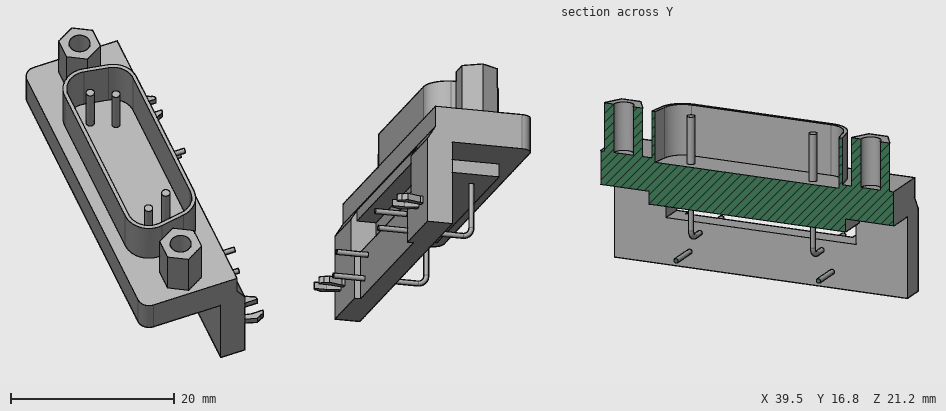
import cadquery as cq
import math


housing_length = 39.5
flange_bottom = 10.55
flange_top = 14.97
flange_back = 12.52
flange_corner_radius = 1.45
wall_front = 10.35
wall_back = 13.55
bevel_bottom = 10.7
bevel_top = 12.35

recess_floor = 12.8
window_width = 25.6
window_bottom = 6.05
foot_gap = 22.5

insert_width = 26.55
insert_front = 2.4
insert_bottom = 8.9

shell_front = 1.65
shell_back = 10.95
shell_top = 20.97
shell_floor = 14.45
shell_front_width = 27.35
shell_side_angle = 10.0
shell_corner_radius = 3.12
shell_thickness = 0.47

post_spacing = 33.3
post_y = (shell_front + shell_back) / 2
post_top = 21.2
post_across_flats = 4.5
post_hole_diameter = 2.55

contact_pitch = 2.75
row_spacing = 2.85
front_row_y = post_y - row_spacing / 2
back_row_y = post_y + row_spacing / 2
front_row_x = 9.6
back_row_x = front_row_x - contact_pitch / 2
contact_diameter = 1.03
contact_top = 20.55
tail_diameter = 0.65
tail_end = 16.8
tail_bend_radius = 1.1
front_tail_z = 2.1
back_tail_z = 4.7

clip_z = (front_tail_z + back_tail_z) / 2
clip_thickness = 0.83
prong_root_inner = 0.5
prong_root_outer = 1.25
prong_widest = 1.85
prong_shoulder = 1.5
prong_tip_outer = 1.03
prong_tip_inner = 0.9
prong_neck_length = 0.35
prong_inner_bend_length = 1.75
prong_widest_length = 2.15
prong_shoulder_length = 2.75
prong_length = tail_end - wall_back


def box(width, y_range, z_range):
    """Box centred on X = 0 that spans the given Y and Z ranges."""
    depth = y_range[1] - y_range[0]
    height = z_range[1] - z_range[0]
    block = cq.Workplane("XY").box(width, depth, height, centered=(True, False, False))
    return block.translate((0, y_range[0], z_range[0]))


def make_housing():
    side_profile = [
        (0, flange_bottom),
        (wall_front, flange_bottom),
        (wall_front, 0),
        (wall_back, 0),
        (wall_back, bevel_bottom),
        (flange_back, bevel_top),
        (flange_back, flange_top),
        (0, flange_top),
    ]
    body = cq.Workplane("YZ").polyline(side_profile).close().extrude(housing_length / 2, both=True)
    body = body.faces("<Y").edges("|Z").fillet(flange_corner_radius)
    window = box(window_width, (wall_front, wall_back), (window_bottom, flange_bottom))
    notch = box(window_width, (recess_floor, wall_back), (window_bottom, flange_top))
    foot_recess = box(foot_gap, (recess_floor, wall_back), (0, window_bottom))
    return body.cut(window).cut(notch).cut(foot_recess)


def make_shell():
    """Shell as a solid D-shaped block, and the cavity that hollows it into the flange."""
    front_half = shell_front_width / 2
    depth = shell_back - shell_front
    back_half = front_half - depth * math.tan(math.radians(shell_side_angle))
    outline = [
        (-front_half, shell_front),
        (front_half, shell_front),
        (back_half, shell_back),
        (-back_half, shell_back),
    ]
    base = cq.Workplane("XY").workplane(offset=flange_top)
    outer = base.polyline(outline).close().extrude(shell_top - flange_top)
    outer = outer.edges("|Z").fillet(shell_corner_radius)
    inner_outline = outer.faces("<Z").wires().val().offset2D(-shell_thickness)
    cavity = cq.Workplane("XY").add(inner_outline).toPending().extrude(shell_top - shell_floor)
    return outer, cavity.translate((0, 0, shell_floor - flange_top))


def make_post(x):
    across_corners = post_across_flats / math.cos(math.pi / 6)
    base = cq.Workplane("XY").workplane(offset=flange_top).center(x, post_y)
    post = base.polygon(6, across_corners).circle(post_hole_diameter / 2)
    return post.extrude(post_top - flange_top)


def make_contact(x, row_y, tail_z):
    """Straight pin in the shell plus a tail bent backwards through the wall."""
    pin = cq.Workplane("XY").workplane(offset=flange_bottom).center(x, row_y)
    pin = pin.circle(contact_diameter / 2).extrude(contact_top - flange_bottom)
    bend_offset = tail_bend_radius * (1 - math.cos(math.pi / 4))
    path = (
        cq.Workplane("YZ", origin=(x, 0, 0))
        .moveTo(row_y, flange_bottom)
        .lineTo(row_y, tail_z + tail_bend_radius)
        .threePointArc(
            (row_y + bend_offset, tail_z + bend_offset),
            (row_y + tail_bend_radius, tail_z),
        )
        .lineTo(tail_end, tail_z)
    )
    tail = cq.Workplane("XY", origin=(x, row_y, flange_bottom)).circle(tail_diameter / 2).sweep(path)
    return pin.union(tail)


def make_prong(clip_x, side):
    """One prong of a clip; side is +1 or -1 along X from the clip centre."""

    def point(offset, length):
        return (clip_x + side * offset, wall_back + length)

    diagonal = math.sqrt(0.5)
    tip_mid = point(
        prong_tip_outer + diagonal * (prong_shoulder - prong_tip_outer),
        prong_shoulder_length + diagonal * (prong_length - prong_shoulder_length),
    )
    outline = (
        cq.Workplane("XY")
        .workplane(offset=clip_z - clip_thickness / 2)
        .moveTo(*point(prong_root_inner, 0))
        .lineTo(*point(prong_root_outer, 0))
        .lineTo(*point(prong_root_outer, prong_neck_length))
        .lineTo(*point(prong_widest, prong_widest_length))
        .lineTo(*point(prong_shoulder, prong_shoulder_length))
        .threePointArc(tip_mid, point(prong_tip_outer, prong_length))
        .lineTo(*point(prong_tip_inner, prong_length))
        .lineTo(*point(prong_tip_inner, prong_inner_bend_length))
        .close()
    )
    return outline.extrude(clip_thickness)


insert = box(insert_width, (insert_front, wall_front), (insert_bottom, flange_bottom))
shell, shell_cavity = make_shell()
result = make_housing().union(insert).union(shell).cut(shell_cavity)

for mirror in (-1, 1):
    post_x = mirror * post_spacing / 2
    result = result.union(make_post(post_x))
    result = result.union(make_contact(mirror * front_row_x, front_row_y, front_tail_z))
    result = result.union(make_contact(mirror * back_row_x, back_row_y, back_tail_z))
    for side in (-1, 1):
        result = result.union(make_prong(post_x, side))